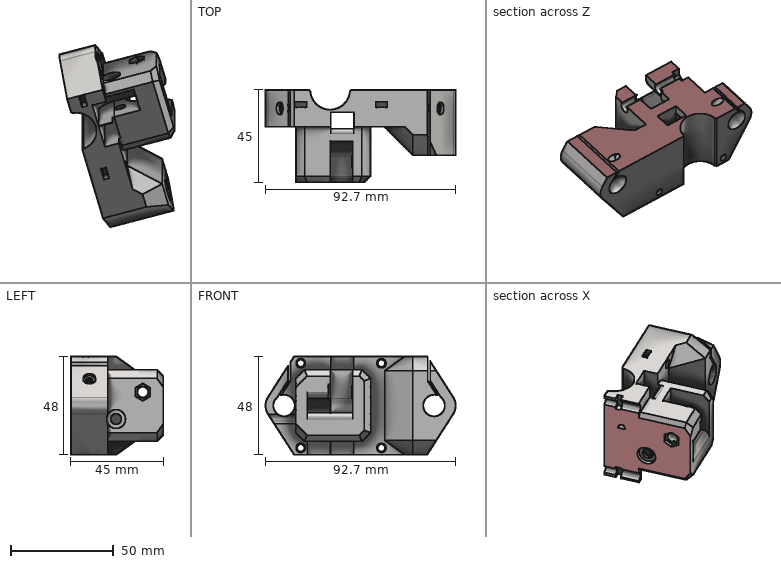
import math

import cadquery as cq

PART_LENGTH = 92.7
PLATE_HEIGHT = 48.0
PLATE_THICKNESS = 18.0
HALF_HEIGHT = PLATE_HEIGHT / 2
CORNER_X = 32.35
EAR_RADIUS = 7.5
EAR_CENTER_X = PART_LENGTH / 2 - EAR_RADIUS
CUT_MARGIN = 10.0

corner_to_ear = math.hypot(EAR_CENTER_X - CORNER_X, HALF_HEIGHT)
SLOPE_ANGLE = math.atan2(HALF_HEIGHT, CORNER_X - EAR_CENTER_X) - math.acos(EAR_RADIUS / corner_to_ear)
SLOPE_COS = math.cos(SLOPE_ANGLE)
SLOPE_SIN = math.sin(SLOPE_ANGLE)
TANGENT_X = EAR_CENTER_X + EAR_RADIUS * SLOPE_COS
TANGENT_Z = EAR_RADIUS * SLOPE_SIN

CLAMP_DEPTH = 31.85
CLAMP_RAMP_END_X = 25.5
CLAMP_HALF_HEIGHT = 16.9
CLAMP_TOP_SETBACK = 9.9

ROD_DIAMETER = 10.4
ROD_MIDDLE_X = -0.75
ROD_SPACING = 73.0
SLIT_WIDTH = 1.1
SLIT_OFFSET = 1.95
SLIT_KNEE_Z = 12.1

EAR_SCREW_Y = -9.0
LEFT_EAR_SCREW_Z = 13.05
RIGHT_EAR_SCREW_Z = 13.7
EAR_SCREW_DIAMETER = 3.5
EAR_SCREW_LENGTH = 12.0
EAR_HEAD_DIAMETER = 6.0
EAR_HEAD_DEPTH = 1.9

PLATE_SCREW_MIDDLE_X = -9.5
PLATE_SCREW_HALF_X = 19.65
PLATE_SCREW_Z = 20.6
PLATE_SCREW_DIAMETER = 3.5
PLATE_HEAD_DIAMETER = 4.5
NUT_WIDTH = 5.75
NUT_THICKNESS = 2.6
NUT_SLOT_Y = -7.2

CHANNEL_X = -14.85
CHANNEL_RADIUS = 9.6
CHANNEL_FLARE_WIDTH = 0.6
CHANNEL_FLARE_DEPTH = 0.8

BOX_LEFT = -31.5
BOX_RIGHT = 4.85
BOX_HALF_HEIGHT = 17.45
BOX_FRONT = 45.0
BOX_CORNER = 4.2
BOX_FRONT_CHAMFER = 3.05

PATH_LEFT = -25.9
PATH_MIDDLE = -14.7
PATH_RIGHT = -3.76
PATH_HALF_HEIGHT = 3.5
PATH_BEND_RADIUS = 7.0
PATH_LIP_RADIUS = 3.0
UPPER_AXLE = (-35.0, 6.55)
LOWER_AXLE = (-22.0, -6.55)
PULLEY_CLEARANCE = 10.0
AXLE_DIAMETER = 5.2
HEAD_DIAMETER = 9.2
NUT_ACROSS_FLATS = 7.3
HEAD_AND_NUT_DEPTH = 4.0
SPACER_DIAMETER = 6.0
SPACER_HEIGHT = 0.5
HUB_RECESS_REACH = 3.9
HUB_RECESS_DEPTH = 1.15

SLOT_BACK = 11.0
SLOT_FRONT = 18.9
SLOT_LIP_RADIUS = 2.1
SLOT_LEFT = -14.45
SLOT_RIGHT = -3.3


def box_between(x_range, y_range, z_range):
    """Axis-aligned block between pairs of limits."""
    size = [limits[1] - limits[0] for limits in (x_range, y_range, z_range)]
    start = (x_range[0], y_range[0], z_range[0])
    return cq.Workplane("XY").box(*size, centered=False).translate(start)


def cylinder_along(start, direction, diameter, length):
    solid = cq.Solid.makeCylinder(diameter / 2, length, cq.Vector(*start), cq.Vector(*direction))
    return cq.Workplane(obj=solid)


def plate_outline(depth):
    """Hull of the plate's flat edges and the two ear arcs, from the back face to a depth."""
    tip_x = PART_LENGTH / 2
    return (
        cq.Workplane("XZ")
        .moveTo(-CORNER_X, HALF_HEIGHT)
        .lineTo(CORNER_X, HALF_HEIGHT)
        .lineTo(TANGENT_X, TANGENT_Z)
        .threePointArc((tip_x, 0), (TANGENT_X, -TANGENT_Z))
        .lineTo(CORNER_X, -HALF_HEIGHT)
        .lineTo(-CORNER_X, -HALF_HEIGHT)
        .lineTo(-TANGENT_X, -TANGENT_Z)
        .threePointArc((-tip_x, 0), (-TANGENT_X, TANGENT_Z))
        .close()
        .extrude(depth)
    )


def clamp_section(z, front):
    """Wire of the clamp block at one height: a 45 degree ramp up to its front face."""
    ramp_start_x = CLAMP_RAMP_END_X - (front - PLATE_THICKNESS)
    end_x = PART_LENGTH / 2 + CUT_MARGIN
    points = [
        (ramp_start_x, -PLATE_THICKNESS, z),
        (CLAMP_RAMP_END_X, -front, z),
        (end_x, -front, z),
        (end_x, -PLATE_THICKNESS, z),
    ]
    return cq.Wire.makePolygon([cq.Vector(*point) for point in points], close=True)


def clamp_block():
    levels = [
        (-HALF_HEIGHT, CLAMP_DEPTH - CLAMP_TOP_SETBACK),
        (-CLAMP_HALF_HEIGHT, CLAMP_DEPTH),
        (CLAMP_HALF_HEIGHT, CLAMP_DEPTH),
        (HALF_HEIGHT, CLAMP_DEPTH - CLAMP_TOP_SETBACK),
    ]
    sections = [clamp_section(z, front) for z, front in levels]
    block = cq.Workplane(obj=cq.Solid.makeLoft(sections, True))
    return block.intersect(plate_outline(CLAMP_DEPTH))


def pulley_box():
    """Box with beveled long edges; the front bevel leaves out the -X side."""
    width = BOX_RIGHT - BOX_LEFT
    block = (
        cq.Workplane("XZ", origin=((BOX_LEFT + BOX_RIGHT) / 2, -PLATE_THICKNESS, 0))
        .rect(width, 2 * BOX_HALF_HEIGHT)
        .extrude(BOX_FRONT - PLATE_THICKNESS)
        .edges("|Y")
        .chamfer(BOX_CORNER)
    )
    side_tolerance = BOX_CORNER / 2
    front_edges = block.faces("<Y").edges().vals()
    beveled = [edge for edge in front_edges if edge.BoundingBox().xmax > BOX_LEFT + side_tolerance]
    return block.newObject(beveled).chamfer(BOX_FRONT_CHAMFER)


def rod_clamp_cut(side):
    """Rod bore with the slit that frees the ear; side is -1 or +1."""
    rod_x = ROD_MIDDLE_X + side * ROD_SPACING / 2
    bore = cq.Workplane("XZ").center(rod_x, 0).circle(ROD_DIAMETER / 2).extrude(CLAMP_DEPTH)
    slit_top = HALF_HEIGHT + CUT_MARGIN
    slit_end_z = ROD_DIAMETER / 2 * SLOPE_SIN
    slant_run = (SLIT_KNEE_Z - slit_end_z) * SLOPE_SIN / SLOPE_COS
    inner_offset = SLIT_OFFSET + SLIT_WIDTH
    offsets = [
        (SLIT_OFFSET, slit_top),
        (SLIT_OFFSET, SLIT_KNEE_Z),
        (SLIT_OFFSET - slant_run, slit_end_z),
        (inner_offset - slant_run, slit_end_z),
        (inner_offset, SLIT_KNEE_Z),
        (inner_offset, slit_top),
    ]
    points = [(rod_x - side * offset, z) for offset, z in offsets]
    slit = cq.Workplane("XZ").polyline(points).close().extrude(CLAMP_DEPTH)
    return bore.union(slit)


def ear_screw_cut(side, entry_z):
    """Counterbored screw hole square to an ear's upper sloped side."""
    entry_x = TANGENT_X - (entry_z - TANGENT_Z) * SLOPE_SIN / SLOPE_COS
    entry = (side * entry_x, EAR_SCREW_Y, entry_z)
    inward = (-side * SLOPE_COS, 0, -SLOPE_SIN)
    hole = cylinder_along(entry, inward, EAR_SCREW_DIAMETER, EAR_SCREW_LENGTH)
    return hole.union(cylinder_along(entry, inward, EAR_HEAD_DIAMETER, EAR_HEAD_DEPTH))


def plate_screw_cut(side_x, side_z):
    """Stepped screw hole with a nut slot open to the nearest flat edge."""
    x = PLATE_SCREW_MIDDLE_X + side_x * PLATE_SCREW_HALF_X
    z = side_z * PLATE_SCREW_Z
    hole = cylinder_along((x, 0, z), (0, -1, 0), PLATE_SCREW_DIAMETER, PLATE_THICKNESS)
    head_depth = PLATE_THICKNESS + NUT_SLOT_Y
    head = cylinder_along((x, -PLATE_THICKNESS, z), (0, 1, 0), PLATE_HEAD_DIAMETER, head_depth)
    slot_inner_z = PLATE_SCREW_Z - NUT_WIDTH / 2
    slot = box_between(
        (x - NUT_WIDTH / 2, x + NUT_WIDTH / 2),
        (NUT_SLOT_Y - NUT_THICKNESS / 2, NUT_SLOT_Y + NUT_THICKNESS / 2),
        sorted((side_z * slot_inner_z, side_z * HALF_HEIGHT)),
    )
    return hole.union(head).union(slot)


def channel_cut():
    mouth = CHANNEL_RADIUS + CHANNEL_FLARE_WIDTH
    base = cq.Workplane("XY", origin=(CHANNEL_X, 0, -HALF_HEIGHT))
    flare = (
        base.polyline(
            [
                (-mouth, 0),
                (-CHANNEL_RADIUS, -CHANNEL_FLARE_DEPTH),
                (CHANNEL_RADIUS, -CHANNEL_FLARE_DEPTH),
                (mouth, 0),
            ]
        )
        .close()
        .extrude(PLATE_HEIGHT)
    )
    return base.circle(CHANNEL_RADIUS).extrude(PLATE_HEIGHT).union(flare)


def front_mouth_cut(left, right, back_y):
    """Flat belt passage from the box front, its top and bottom edges rounded outward."""
    lip_start = -BOX_FRONT + PATH_LIP_RADIUS
    flared = PATH_HALF_HEIGHT + PATH_LIP_RADIUS
    diagonal = PATH_LIP_RADIUS * (1 - math.sqrt(0.5))
    lip_middle_y = -BOX_FRONT + diagonal
    lip_middle_z = PATH_HALF_HEIGHT + diagonal
    return (
        cq.Workplane("YZ", origin=(left, 0, 0))
        .moveTo(back_y, -PATH_HALF_HEIGHT)
        .lineTo(lip_start, -PATH_HALF_HEIGHT)
        .threePointArc((lip_middle_y, -lip_middle_z), (-BOX_FRONT, -flared))
        .lineTo(-BOX_FRONT, flared)
        .threePointArc((lip_middle_y, lip_middle_z), (lip_start, PATH_HALF_HEIGHT))
        .lineTo(back_y, PATH_HALF_HEIGHT)
        .close()
        .extrude(right - left)
    )


def upper_pocket_cut():
    """Pocket open to the top and front, its back wall curving into the floor."""
    pocket = box_between(
        (PATH_MIDDLE, PATH_RIGHT),
        (-BOX_FRONT, UPPER_AXLE[0] + PULLEY_CLEARANCE),
        (-PATH_HALF_HEIGHT, HALF_HEIGHT),
    )
    return pocket.edges("|X and >Y and <Z").fillet(PATH_BEND_RADIUS)


def lower_pocket_cut():
    """Pocket open to the bottom, its back wall curving into the ceiling."""
    pocket = box_between(
        (PATH_LEFT, PATH_MIDDLE),
        (LOWER_AXLE[0] - PULLEY_CLEARANCE, -SLOT_BACK),
        (-HALF_HEIGHT, PATH_HALF_HEIGHT),
    )
    return pocket.edges("|X and >Y and >Z").fillet(PATH_BEND_RADIUS)


def through_slot_cut():
    """Vertical slot behind the upper pulley, rounded over where it leaves the box top."""
    slot = box_between((SLOT_LEFT, SLOT_RIGHT), (-SLOT_FRONT, -SLOT_BACK), (-HALF_HEIGHT, HALF_HEIGHT))
    lip = box_between(
        (SLOT_LEFT, SLOT_RIGHT),
        (-SLOT_FRONT - SLOT_LIP_RADIUS, -SLOT_FRONT),
        (BOX_HALF_HEIGHT - SLOT_LIP_RADIUS, BOX_HALF_HEIGHT),
    )
    round_start = (SLOT_LEFT, -SLOT_FRONT - SLOT_LIP_RADIUS, BOX_HALF_HEIGHT - SLOT_LIP_RADIUS)
    rounding = cylinder_along(round_start, (1, 0, 0), 2 * SLOT_LIP_RADIUS, SLOT_RIGHT - SLOT_LEFT)
    return slot.union(lip.cut(rounding))


def hub_recess_cut():
    """Square-ended recess beside the upper pulley, running out of the front."""
    axle_y, axle_z = UPPER_AXLE
    return box_between(
        (PATH_MIDDLE - HUB_RECESS_DEPTH, PATH_MIDDLE),
        (-BOX_FRONT, axle_y + HUB_RECESS_REACH),
        (axle_z - HUB_RECESS_REACH, axle_z + HUB_RECESS_REACH),
    )


def spacer_ring():
    start = (PATH_RIGHT - SPACER_HEIGHT, *UPPER_AXLE)
    return cylinder_along(start, (1, 0, 0), SPACER_DIAMETER, SPACER_HEIGHT)


def axle_cuts():
    """Axle holes across the box, the hexagon nut pocket and the screw head bore."""
    box_width = BOX_RIGHT - BOX_LEFT
    upper = cylinder_along((BOX_LEFT, *UPPER_AXLE), (1, 0, 0), AXLE_DIAMETER, box_width)
    lower = cylinder_along((BOX_LEFT, *LOWER_AXLE), (1, 0, 0), AXLE_DIAMETER, box_width)
    nut_diameter = NUT_ACROSS_FLATS / math.cos(math.pi / 6)
    nut = (
        cq.Workplane("YZ", origin=(BOX_LEFT, *UPPER_AXLE))
        .transformed(rotate=(0, 0, 90))
        .polygon(6, nut_diameter)
        .extrude(HEAD_AND_NUT_DEPTH)
    )
    head_start_x = -PART_LENGTH / 2
    head_length = BOX_LEFT + HEAD_AND_NUT_DEPTH - head_start_x
    head = cylinder_along((head_start_x, *LOWER_AXLE), (1, 0, 0), HEAD_DIAMETER, head_length)
    return [upper, lower, nut, head]


body = plate_outline(PLATE_THICKNESS).union(clamp_block()).union(pulley_box())

cutters = [channel_cut(), upper_pocket_cut(), lower_pocket_cut()]
cutters.append(front_mouth_cut(PATH_LEFT, PATH_MIDDLE, LOWER_AXLE[0]))
cutters.append(front_mouth_cut(PATH_MIDDLE, PATH_RIGHT, UPPER_AXLE[0]))
cutters += [through_slot_cut(), hub_recess_cut()]
cutters.append(ear_screw_cut(-1, LEFT_EAR_SCREW_Z))
cutters.append(ear_screw_cut(1, RIGHT_EAR_SCREW_Z))
for side in (-1, 1):
    cutters.append(rod_clamp_cut(side))
    for side_z in (-1, 1):
        cutters.append(plate_screw_cut(side, side_z))
for cutter in cutters:
    body = body.cut(cutter)

body = body.union(spacer_ring())
for cutter in axle_cuts():
    body = body.cut(cutter)

result = body